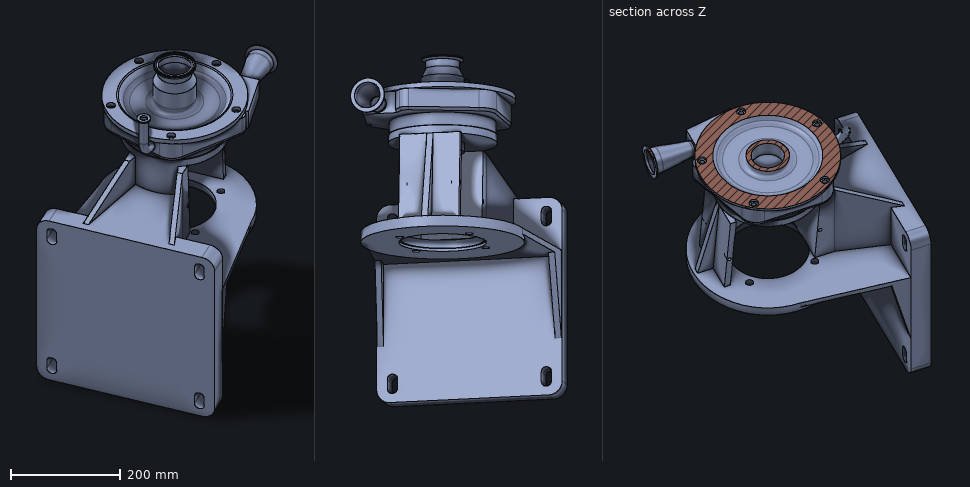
import cadquery as cq
import math


PLATE_WIDTH = 350.0
PLATE_HEIGHT = 370.0
PLATE_THICKNESS = 40.0
PLATE_FRONT_Y = -250.0
PLATE_BACK_Y = PLATE_FRONT_Y + PLATE_THICKNESS
PLATE_CORNER_RADIUS = 25.0
SLOT_SPACING_X = 290.0
SLOT_SPACING_Z = 300.0
SLOT_LENGTH = 36.0
SLOT_WIDTH = 19.0

SEAT_RADIUS = 150.0
SEAT_THICKNESS = 20.0
SHELF_THICKNESS = 11.0
SHELF_TOP_Z = 270.0
SHELF_HALF_WIDTH_AT_PLATE = 173.5
SEAT_BORE_RADIUS = 76.0
REGISTER_RADIUS = 80.0
REGISTER_DEPTH = 5.0
SEAT_HOLE_CIRCLE_RADIUS = 92.5
SEAT_HOLE_DIAMETER = 14.0
SEAT_HOLE_COUNT = 4
SEAT_HOLE_START_ANGLE = 45.0
BRACE_THICKNESS = 12.0
BRACE_REACH = 36.0
BRACE_FOOT_Z = 106.0

UPRIGHT_TOP_Z = 435.0
UPRIGHT_HALF_WIDTH = 57.0
UPRIGHT_LEAN = 12.0
FRONT_INNER_Y_TOP = -81.0
FRONT_CHEEK_Y = -108.5
GUSSET_THICKNESS = 10.5
GUSSET_ANGLE = 14.5
GUSSET_END_Y = -234.0
REAR_INNER_Y_TOP = 88.0
REAR_THICKNESS = 12.0
REAR_RIB_FOOT_Y = 143.0
REAR_RIB_THICKNESS = 12.0
SIDE_HOLE_DIAMETER = 7.0
SIDE_HOLE_DEPTH = 15.0
SIDE_HOLE_Z = 340.0
FRONT_SIDE_HOLE_Y = -80.0
REAR_SIDE_HOLE_Y = 102.0

HOUSING_FLANGE_RADIUS = 100.0
HOUSING_FLANGE_THICKNESS = 15.0
HOUSING_RADIUS = 98.0
SPIGOT_RADIUS = 40.0
SPIGOT_LENGTH = 16.0

CASING_BOTTOM_Z = 474.0
CASING_TOP_Z = 514.0
CASING_APOTHEM = 115.0
CASING_CORNERS = 5
CASING_CORNER_RADIUS = 36.0
OUTLET_CORNER_RADIUS = 16.0
OUTLET_CORNER_COUNT = 2
CASING_CHAMFER_WIDTH = 2.0
CASING_CHAMFER_HEIGHT = 6.0
OUTLET_FACE_Y = 109.0
OUTLET_BLOCK_RIGHT_X = 124.0
OUTLET_BLOCK_FOOT = (139.5, 14.0)

COVER_RADIUS = 134.0
COVER_TOP_Z = 523.5
SCREW_CIRCLE_RADIUS = 121.0
SCREW_HEAD_DIAMETER = 16.0
SCREW_HOLE_DIAMETER = 9.0
SCREW_HEAD_DEPTH = 9.0
SCREW_HOLE_DEPTH = 18.0
DISH_RIM_RADIUS = 106.5
DISH_CONE_TOP_RADIUS = 103.5
DISH_CONE_FOOT_RADIUS = 94.0
DISH_FLOOR_RADIUS = 83.0
DISH_FLOOR_Z = 508.0

INLET_TOP_Z = 593.5
INLET_BODY_RADIUS = 40.0
INLET_FOOT_FILLET = 13.0
INLET_BODY_TOP_Z = 557.0
INLET_TUBE_BOTTOM_Z = 574.0
INLET_TUBE_RADIUS = 31.75
INLET_BORE_RADIUS = 30.0
INLET_BORE_BOTTOM_Z = 490.0
INLET_FERRULE_RADIUS = 38.75
GASKET_GROOVE_INNER_RADIUS = 34.0
GASKET_GROOVE_OUTER_RADIUS = 36.8
GASKET_GROOVE_DEPTH = 1.2

FERRULE_RIM = 2.85
FERRULE_TAPER = 3.0

OUTLET_X = 95.5
OUTLET_Z = 491.5
OUTLET_END_Y = 195.0
OUTLET_FERRULE_RADIUS = 32.0
OUTLET_TUBE_RADIUS = 25.4
OUTLET_TUBE_START_Y = 178.0
OUTLET_ROOT_RADIUS = 15.5
OUTLET_CONE_START_Y = 113.0
OUTLET_WALL = 1.6

PIPE_RADIUS = 9.0
PIPE_BORE_RADIUS = 7.0
PIPE_Y = -158.0
PIPE_Z = 496.0
PIPE_BEND_RADIUS = 33.5
PIPE_TOP_Z = 585.0
PIPE_ROOT_Y = -112.0
PIPE_FERRULE_RADIUS = 12.7


def disc(radius, z_bottom, z_top):
    return cq.Workplane("XY").workplane(offset=z_bottom).circle(radius).extrude(z_top - z_bottom)


def prism(points, z_bottom, z_top):
    return cq.Workplane("XY").workplane(offset=z_bottom).polyline(points).close().extrude(z_top - z_bottom)


def side_profile(points, thickness):
    """Plate centred on X = 0 from a (y, z) outline."""
    return cq.Workplane("YZ").polyline(points).close().extrude(thickness / 2, both=True)


def both_sides(shape):
    return shape.union(shape.mirror("YZ"))


def wall_plate():
    middle_z = PLATE_HEIGHT / 2
    plate = (
        cq.Workplane("XZ", origin=(0, PLATE_BACK_Y, middle_z))
        .rect(PLATE_WIDTH, PLATE_HEIGHT)
        .extrude(PLATE_THICKNESS)
        .edges("|Y")
        .fillet(PLATE_CORNER_RADIUS)
    )
    slots = (
        cq.Workplane("XZ", origin=(0, PLATE_BACK_Y, middle_z))
        .rect(SLOT_SPACING_X, SLOT_SPACING_Z, forConstruction=True)
        .vertices()
        .slot2D(SLOT_LENGTH, SLOT_WIDTH, 90)
        .extrude(PLATE_THICKNESS)
    )
    return plate.cut(slots)


def shelf():
    seat_bottom = SHELF_TOP_Z - SEAT_THICKNESS
    shelf_bottom = SHELF_TOP_Z - SHELF_THICKNESS
    outline = [
        (-SEAT_RADIUS, 0),
        (SEAT_RADIUS, 0),
        (SHELF_HALF_WIDTH_AT_PLATE, PLATE_BACK_Y),
        (-SHELF_HALF_WIDTH_AT_PLATE, PLATE_BACK_Y),
    ]
    body = prism(outline, shelf_bottom, SHELF_TOP_Z)
    body = body.union(disc(SEAT_RADIUS, seat_bottom, SHELF_TOP_Z))
    body = body.cut(disc(SEAT_BORE_RADIUS, seat_bottom, SHELF_TOP_Z))
    body = body.cut(disc(REGISTER_RADIUS, seat_bottom, seat_bottom + REGISTER_DEPTH))
    holes = (
        cq.Workplane("XY", origin=(0, 0, seat_bottom))
        .polarArray(SEAT_HOLE_CIRCLE_RADIUS, SEAT_HOLE_START_ANGLE, 360, SEAT_HOLE_COUNT)
        .circle(SEAT_HOLE_DIAMETER / 2)
        .extrude(SEAT_THICKNESS)
    )
    return body.cut(holes).union(both_sides(brace()))


def brace():
    """Triangular brace under the shelf, flush with the shelf's slanted +X side."""
    shelf_bottom = SHELF_TOP_Z - SHELF_THICKNESS
    triangle = side_profile(
        [
            (PLATE_BACK_Y + BRACE_REACH, shelf_bottom),
            (PLATE_BACK_Y, shelf_bottom),
            (PLATE_BACK_Y, BRACE_FOOT_Z),
        ],
        PLATE_WIDTH,
    )
    side_strip = prism(
        [
            (SEAT_RADIUS, 0),
            (SHELF_HALF_WIDTH_AT_PLATE, PLATE_BACK_Y),
            (SHELF_HALF_WIDTH_AT_PLATE - BRACE_THICKNESS, PLATE_BACK_Y),
            (SEAT_RADIUS - BRACE_THICKNESS, 0),
        ],
        BRACE_FOOT_Z,
        shelf_bottom,
    )
    return triangle.intersect(side_strip)


def gusset():
    """Upright cheek on the +X side, continued as a splayed plate to the wall plate."""
    splay_slope = math.tan(math.radians(GUSSET_ANGLE))
    end_x = UPRIGHT_HALF_WIDTH + splay_slope * (FRONT_CHEEK_Y - GUSSET_END_Y)
    inner_end_x = end_x - GUSSET_THICKNESS
    inner_start_x = inner_end_x + splay_slope * GUSSET_END_Y
    plan = [
        (UPRIGHT_HALF_WIDTH, 0),
        (UPRIGHT_HALF_WIDTH, FRONT_CHEEK_Y),
        (end_x, GUSSET_END_Y),
        (inner_end_x, GUSSET_END_Y),
        (inner_start_x, 0),
    ]
    profile = [
        (0, UPRIGHT_TOP_Z),
        (FRONT_CHEEK_Y, UPRIGHT_TOP_Z),
        (GUSSET_END_Y, PLATE_HEIGHT),
        (GUSSET_END_Y, SHELF_TOP_Z),
        (0, SHELF_TOP_Z),
    ]
    return prism(plan, SHELF_TOP_Z, UPRIGHT_TOP_Z).intersect(side_profile(profile, PLATE_WIDTH))


def gusset_infill():
    """Block between the gussets, level with the top of the wall plate."""
    splay_slope = math.tan(math.radians(GUSSET_ANGLE))
    end_half_width = UPRIGHT_HALF_WIDTH + splay_slope * (FRONT_CHEEK_Y - PLATE_BACK_Y)
    plan = [
        (-UPRIGHT_HALF_WIDTH + GUSSET_THICKNESS, FRONT_INNER_Y_TOP),
        (UPRIGHT_HALF_WIDTH - GUSSET_THICKNESS, FRONT_INNER_Y_TOP),
        (UPRIGHT_HALF_WIDTH, FRONT_CHEEK_Y),
        (end_half_width, PLATE_BACK_Y),
        (-end_half_width, PLATE_BACK_Y),
        (-UPRIGHT_HALF_WIDTH, FRONT_CHEEK_Y),
    ]
    return prism(plan, SHELF_TOP_Z, PLATE_HEIGHT)


def front_upright():
    curved_wall = disc(HOUSING_FLANGE_RADIUS, SHELF_TOP_Z, UPRIGHT_TOP_Z).intersect(
        side_profile(
            [
                (0, SHELF_TOP_Z),
                (0, UPRIGHT_TOP_Z),
                (-HOUSING_FLANGE_RADIUS, UPRIGHT_TOP_Z),
                (-HOUSING_FLANGE_RADIUS, SHELF_TOP_Z),
            ],
            2 * UPRIGHT_HALF_WIDTH,
        )
    )
    opening = side_profile(
        [
            (FRONT_INNER_Y_TOP, UPRIGHT_TOP_Z),
            (FRONT_INNER_Y_TOP + UPRIGHT_LEAN, SHELF_TOP_Z),
            (HOUSING_FLANGE_RADIUS, SHELF_TOP_Z),
            (HOUSING_FLANGE_RADIUS, UPRIGHT_TOP_Z),
        ],
        PLATE_WIDTH,
    )
    return curved_wall.union(both_sides(gusset())).union(gusset_infill()).cut(opening)


def rear_upright():
    outer_top = REAR_INNER_Y_TOP + REAR_THICKNESS
    inner_foot = REAR_INNER_Y_TOP + UPRIGHT_LEAN
    plate = side_profile(
        [
            (REAR_INNER_Y_TOP, UPRIGHT_TOP_Z),
            (outer_top, UPRIGHT_TOP_Z),
            (outer_top + UPRIGHT_LEAN, SHELF_TOP_Z),
            (inner_foot, SHELF_TOP_Z),
        ],
        2 * UPRIGHT_HALF_WIDTH,
    )
    rib = side_profile(
        [
            (outer_top, UPRIGHT_TOP_Z),
            (REAR_RIB_FOOT_Y, SHELF_TOP_Z),
            (inner_foot, SHELF_TOP_Z),
        ],
        REAR_RIB_THICKNESS,
    )
    return plate.union(rib)


def side_holes():
    holes = (
        cq.Workplane("YZ", origin=(UPRIGHT_HALF_WIDTH, 0, 0))
        .pushPoints([(FRONT_SIDE_HOLE_Y, SIDE_HOLE_Z), (REAR_SIDE_HOLE_Y, SIDE_HOLE_Z)])
        .circle(SIDE_HOLE_DIAMETER / 2)
        .extrude(-SIDE_HOLE_DEPTH)
    )
    return both_sides(holes)


def bearing_housing():
    flange_top = UPRIGHT_TOP_Z + HOUSING_FLANGE_THICKNESS
    flange = disc(HOUSING_FLANGE_RADIUS, UPRIGHT_TOP_Z, flange_top)
    drum = disc(HOUSING_RADIUS, flange_top, CASING_BOTTOM_Z)
    spigot = disc(SPIGOT_RADIUS, UPRIGHT_TOP_Z - SPIGOT_LENGTH, UPRIGHT_TOP_Z)
    return flange.union(drum).union(spigot)


def casing():
    circumradius = CASING_APOTHEM / math.cos(math.pi / CASING_CORNERS)
    corners = []
    for index in range(CASING_CORNERS):
        angle = 2 * math.pi * index / CASING_CORNERS
        corners.append((circumradius * math.cos(angle), circumradius * math.sin(angle)))
    body = prism(corners, CASING_BOTTOM_Z, CASING_TOP_Z)
    middle_z = (CASING_BOTTOM_Z + CASING_TOP_Z) / 2
    for index, (x, y) in enumerate(corners):
        radius = OUTLET_CORNER_RADIUS if index < OUTLET_CORNER_COUNT else CASING_CORNER_RADIUS
        body = body.edges(cq.selectors.NearestToPointSelector((x, y, middle_z))).fillet(radius)
    body = body.faces("<Z").chamfer(CASING_CHAMFER_WIDTH, CASING_CHAMFER_HEIGHT)
    block = prism(
        [
            (0, 0),
            (0, OUTLET_FACE_Y),
            (OUTLET_BLOCK_RIGHT_X, OUTLET_FACE_Y),
            OUTLET_BLOCK_FOOT,
        ],
        CASING_BOTTOM_Z,
        CASING_TOP_Z,
    )
    return body.union(block)


def cover():
    """Cover ring, the dish to cut from it and the inlet neck rising from the dish floor."""
    foot_rise = (DISH_CONE_FOOT_RADIUS - DISH_FLOOR_RADIUS) * math.tan(math.pi / 8)
    cone_foot_z = DISH_FLOOR_Z + foot_rise
    cone_top_z = cone_foot_z + DISH_CONE_TOP_RADIUS - DISH_CONE_FOOT_RADIUS
    neck_foot_radius = INLET_BODY_RADIUS + INLET_FOOT_FILLET
    neck_foot_z = DISH_FLOOR_Z + INLET_FOOT_FILLET
    rim_z = INLET_TOP_Z - FERRULE_RIM
    dish = (
        cq.Workplane("XZ")
        .moveTo(0, DISH_FLOOR_Z)
        .lineTo(DISH_FLOOR_RADIUS, DISH_FLOOR_Z)
        .tangentArcPoint((DISH_CONE_FOOT_RADIUS, cone_foot_z), relative=False)
        .lineTo(DISH_CONE_TOP_RADIUS, cone_top_z)
        .lineTo(DISH_RIM_RADIUS, COVER_TOP_Z)
        .lineTo(0, COVER_TOP_Z)
        .close()
        .revolve(360, (0, 0, 0), (0, 1, 0))
    )
    neck = (
        cq.Workplane("XZ")
        .moveTo(0, DISH_FLOOR_Z)
        .lineTo(neck_foot_radius, DISH_FLOOR_Z)
        .radiusArc((INLET_BODY_RADIUS, neck_foot_z), INLET_FOOT_FILLET)
        .lineTo(INLET_BODY_RADIUS, INLET_BODY_TOP_Z)
        .lineTo(INLET_TUBE_RADIUS, INLET_TUBE_BOTTOM_Z)
        .lineTo(INLET_TUBE_RADIUS, rim_z - FERRULE_TAPER)
        .lineTo(INLET_FERRULE_RADIUS, rim_z)
        .lineTo(INLET_FERRULE_RADIUS, INLET_TOP_Z)
        .lineTo(0, INLET_TOP_Z)
        .close()
        .revolve(360, (0, 0, 0), (0, 1, 0))
    )
    return disc(COVER_RADIUS, CASING_TOP_Z, COVER_TOP_Z), dish, neck


def gasket_groove():
    floor_z = INLET_TOP_Z - GASKET_GROOVE_DEPTH
    outside = disc(GASKET_GROOVE_OUTER_RADIUS, floor_z, INLET_TOP_Z)
    return outside.cut(disc(GASKET_GROOVE_INNER_RADIUS, floor_z, INLET_TOP_Z))


def cover_screw_holes():
    def ring_of_holes(diameter, depth):
        return (
            cq.Workplane("XY", origin=(0, 0, COVER_TOP_Z))
            .polarArray(SCREW_CIRCLE_RADIUS, 0, 360, CASING_CORNERS)
            .circle(diameter / 2)
            .extrude(-depth)
        )

    heads = ring_of_holes(SCREW_HEAD_DIAMETER, SCREW_HEAD_DEPTH)
    return heads.union(ring_of_holes(SCREW_HOLE_DIAMETER, SCREW_HOLE_DEPTH))


def outlet_nozzle():
    rim_y = OUTLET_END_Y - FERRULE_RIM
    start = cq.Workplane("XY", origin=(OUTLET_X, 0, OUTLET_Z))
    outside = (
        start.moveTo(0, OUTLET_FACE_Y)
        .lineTo(OUTLET_ROOT_RADIUS, OUTLET_FACE_Y)
        .lineTo(OUTLET_ROOT_RADIUS, OUTLET_CONE_START_Y)
        .lineTo(OUTLET_TUBE_RADIUS, OUTLET_TUBE_START_Y)
        .lineTo(OUTLET_TUBE_RADIUS, rim_y - FERRULE_TAPER)
        .lineTo(OUTLET_FERRULE_RADIUS, rim_y)
        .lineTo(OUTLET_FERRULE_RADIUS, OUTLET_END_Y)
        .lineTo(0, OUTLET_END_Y)
        .close()
        .revolve(360, (0, 0, 0), (0, 1, 0))
    )
    bore = (
        start.moveTo(0, OUTLET_FACE_Y)
        .lineTo(OUTLET_ROOT_RADIUS - OUTLET_WALL, OUTLET_FACE_Y)
        .lineTo(OUTLET_ROOT_RADIUS - OUTLET_WALL, OUTLET_CONE_START_Y)
        .lineTo(OUTLET_TUBE_RADIUS - OUTLET_WALL, OUTLET_TUBE_START_Y)
        .lineTo(OUTLET_TUBE_RADIUS - OUTLET_WALL, OUTLET_END_Y)
        .lineTo(0, OUTLET_END_Y)
        .close()
        .revolve(360, (0, 0, 0), (0, 1, 0))
    )
    return outside.cut(bore)


def swept_pipe(radius):
    bend_y = PIPE_Y + PIPE_BEND_RADIUS
    path = (
        cq.Workplane("YZ")
        .moveTo(PIPE_ROOT_Y, PIPE_Z)
        .lineTo(bend_y, PIPE_Z)
        .tangentArcPoint((PIPE_Y, PIPE_Z + PIPE_BEND_RADIUS), relative=False)
        .lineTo(PIPE_Y, PIPE_TOP_Z)
    )
    return cq.Workplane("XZ", origin=(0, PIPE_ROOT_Y, PIPE_Z)).circle(radius).sweep(path)


def flush_pipe():
    rim_z = PIPE_TOP_Z - FERRULE_RIM
    ferrule = (
        cq.Workplane("XY", origin=(0, PIPE_Y, rim_z - FERRULE_TAPER))
        .circle(PIPE_RADIUS)
        .workplane(offset=FERRULE_TAPER)
        .circle(PIPE_FERRULE_RADIUS)
        .loft()
    )
    rim = cq.Workplane("XY", origin=(0, PIPE_Y, rim_z)).circle(PIPE_FERRULE_RADIUS).extrude(FERRULE_RIM)
    return swept_pipe(PIPE_RADIUS).union(ferrule).union(rim)


def pump():
    ring, dish, neck = cover()
    body = casing().union(ring).cut(dish).union(neck)
    body = body.cut(cover_screw_holes())
    body = body.cut(disc(INLET_BORE_RADIUS, INLET_BORE_BOTTOM_Z, INLET_TOP_Z)).cut(gasket_groove())
    body = body.union(outlet_nozzle()).union(flush_pipe())
    return body.cut(swept_pipe(PIPE_BORE_RADIUS))


def bracket():
    body = wall_plate().union(shelf()).union(front_upright()).union(rear_upright())
    return body.cut(side_holes())


result = bracket().union(bearing_housing()).union(pump())